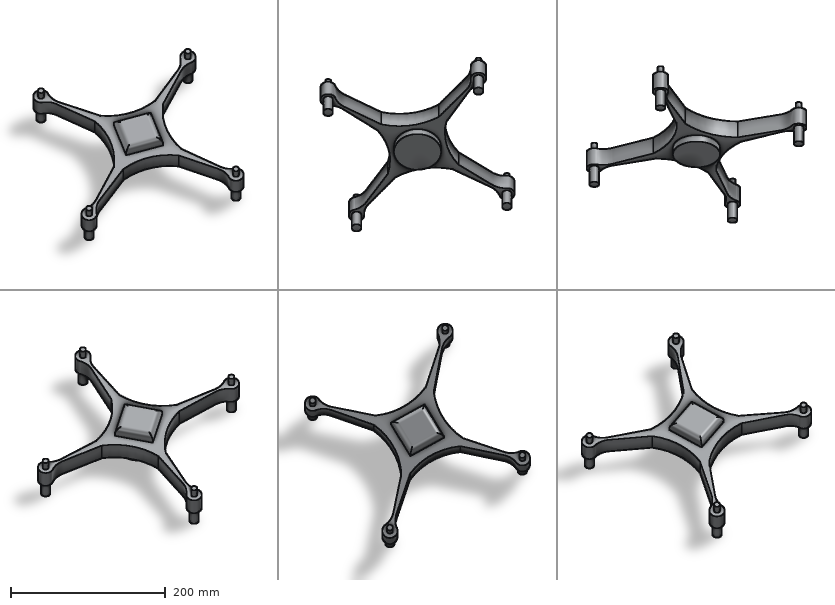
import cadquery as cq
import math

length_x = 217.8
length_y = 220.0
plate_thickness = 24.6

foot_radius = 10.0
foot_x = length_x / 2 - foot_radius
foot_y = length_y / 2 - foot_radius
upper_pin_diameter = 8.0
upper_pin_height = 12.5
lower_pin_diameter = 12.5
lower_pin_height = 24.9

hub_half_width = 37.6
side_radius = 90.2

neck_length = 16.7
neck_width = 10.0
neck_mid_length = 9.7
neck_mid_width = 3.7

pad_side = 50.4
pad_height = 12.5
pad_round = 8.4
disc_diameter = 61.0
disc_height = 10.0

arms = [
    (1, 1, 37.6, 39.4),
    (-1, 1, 37.6, 37.8),
    (-1, -1, 39.2, 36.7),
    (1, -1, 36.7, 35.5),
]


def hub_side(offset):
    """Distance of a concave side from the centre at an offset from its middle."""
    return hub_half_width + side_radius - math.sqrt(side_radius**2 - offset**2)


def arm_points(sign_x, sign_y, root_x, root_y):
    """Outline points of one arm, from its edge facing X to its edge facing Y."""
    inner_x = foot_x - foot_radius
    inner_y = foot_y - foot_radius
    diagonal = foot_radius / math.sqrt(2)
    points = [
        (hub_side(root_y), root_y),
        (foot_x - neck_length, inner_y - neck_width),
        (foot_x - neck_mid_length, inner_y - neck_mid_width),
        (foot_x, inner_y),
        (foot_x + diagonal, foot_y + diagonal),
        (inner_x, foot_y),
        (inner_x - neck_mid_width, foot_y - neck_mid_length),
        (inner_x - neck_width, foot_y - neck_length),
        (root_x, hub_side(root_x)),
    ]
    placed = [(sign_x * x, sign_y * y) for x, y in points]
    return placed if sign_x == sign_y else placed[::-1]


def make_plate():
    """Hub and four arms as one extruded outline."""
    side_middles = [(0, hub_half_width), (-hub_half_width, 0), (0, -hub_half_width), (hub_half_width, 0)]
    outlines = [arm_points(*arm) for arm in arms]
    sketch = cq.Workplane("XY").moveTo(*outlines[0][0])
    for index, points in enumerate(outlines):
        _, neck_a, flare_a, foot_a, foot_tip, foot_b, flare_b, neck_b, root_b = points
        next_root = outlines[(index + 1) % len(outlines)][0]
        sketch = (
            sketch.lineTo(*neck_a)
            .threePointArc(flare_a, foot_a)
            .threePointArc(foot_tip, foot_b)
            .threePointArc(flare_b, neck_b)
            .lineTo(*root_b)
            .threePointArc(side_middles[index], next_root)
        )
    return sketch.close().extrude(plate_thickness)


def make_pad():
    """Square pad with its four top edges rounded."""
    pad = cq.Workplane("XY").workplane(offset=plate_thickness).rect(pad_side, pad_side).extrude(pad_height)
    return pad.faces(">Z").edges().fillet(pad_round)


def make_disc():
    """Round disc under the hub."""
    return cq.Workplane("XY").circle(disc_diameter / 2).extrude(-disc_height)


def make_pins():
    """Thin pin above and thick pin below every foot."""
    centres = [(sign_x * foot_x, sign_y * foot_y) for sign_x, sign_y, _, _ in arms]
    upper_plane = cq.Workplane("XY").workplane(offset=plate_thickness)
    upper = upper_plane.pushPoints(centres).circle(upper_pin_diameter / 2).extrude(upper_pin_height)
    lower = cq.Workplane("XY").pushPoints(centres).circle(lower_pin_diameter / 2).extrude(-lower_pin_height)
    return upper, lower


upper_pins, lower_pins = make_pins()
result = make_plate().union(make_pad()).union(make_disc()).union(upper_pins).union(lower_pins)